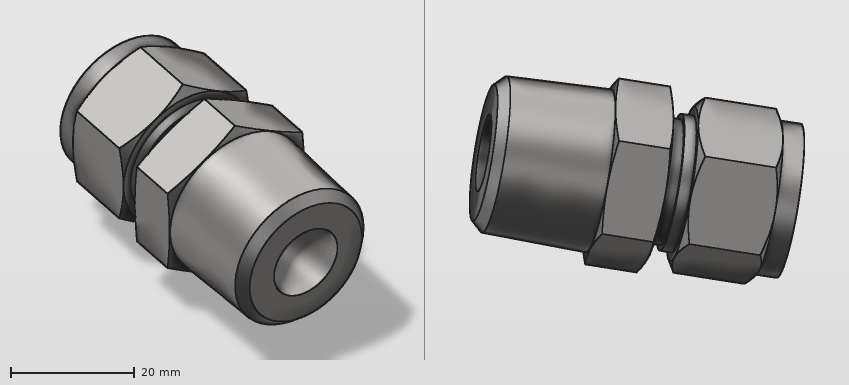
import cadquery as cq
import math


collar_end = 3.55
nut_end = 17.6
ring_end = 19.55
body_hex_start = 21.85
body_hex_end = 31.5
taper_start = 32.25
tip_chamfer_start = 48.75
fitting_length = 50.55

collar_diameter = 25.35
nut_across_flats = 25.4
ring_diameter = 22.55
neck_diameter = 20.75
body_across_flats = 27.0
thread_diameter = 26.8
diameter_taper = 1 / 16
tip_diameter = 22.45

nut_chamfer_angle = 30
body_chamfer_angle = 15

bore_diameter = 12.7
socket_diameter = 15.85
socket_depth = 24.4

thread_end_diameter = thread_diameter - diameter_taper * (tip_chamfer_start - taper_start)


def cylinder(start, end, diameter):
    """Solid cylinder along X between two stations."""
    return cq.Workplane("YZ", origin=(start, 0, 0)).circle(diameter / 2).extrude(end - start)


def chamfered_hexagon(start, end, across_flats, face_diameter, chamfer_angle):
    """Hexagon along X with corners up and down, both ends turned to a cone that meets the face circle."""
    corner_radius = across_flats / math.sqrt(3)
    face_radius = face_diameter / 2
    chamfer_length = (corner_radius - face_radius) * math.tan(math.radians(chamfer_angle))
    prism = (
        cq.Workplane("YZ", origin=(start, 0, 0))
        .polygon(6, 2 * corner_radius)
        .extrude(end - start)
        .rotate((0, 0, 0), (1, 0, 0), 90)
    )
    turned_envelope = (
        cq.Workplane("XY")
        .moveTo(start, 0)
        .lineTo(start, face_radius)
        .lineTo(start + chamfer_length, corner_radius)
        .lineTo(end - chamfer_length, corner_radius)
        .lineTo(end, face_radius)
        .lineTo(end, 0)
        .close()
        .revolve(360, (0, 0, 0), (1, 0, 0))
    )
    return prism.intersect(turned_envelope)


def tapered_thread_end():
    """Unthreaded envelope of the taper pipe thread: short land, taper, then tip chamfer."""
    return (
        cq.Workplane("XY")
        .moveTo(body_hex_end, 0)
        .lineTo(body_hex_end, thread_diameter / 2)
        .lineTo(taper_start, thread_diameter / 2)
        .lineTo(tip_chamfer_start, thread_end_diameter / 2)
        .lineTo(fitting_length, tip_diameter / 2)
        .lineTo(fitting_length, 0)
        .close()
        .revolve(360, (0, 0, 0), (1, 0, 0))
    )


collar = cylinder(0, collar_end, collar_diameter)
nut = chamfered_hexagon(collar_end, nut_end, nut_across_flats, collar_diameter, nut_chamfer_angle)

ring = cylinder(nut_end, ring_end, ring_diameter)
neck = cylinder(ring_end, body_hex_start, neck_diameter)
body_hexagon = chamfered_hexagon(
    body_hex_start, body_hex_end, body_across_flats, thread_diameter, body_chamfer_angle
)
outside = collar.union(nut).union(ring).union(neck).union(body_hexagon).union(tapered_thread_end())

socket = cylinder(0, socket_depth, socket_diameter)
bore = cylinder(0, fitting_length, bore_diameter)

result = outside.cut(socket).cut(bore)